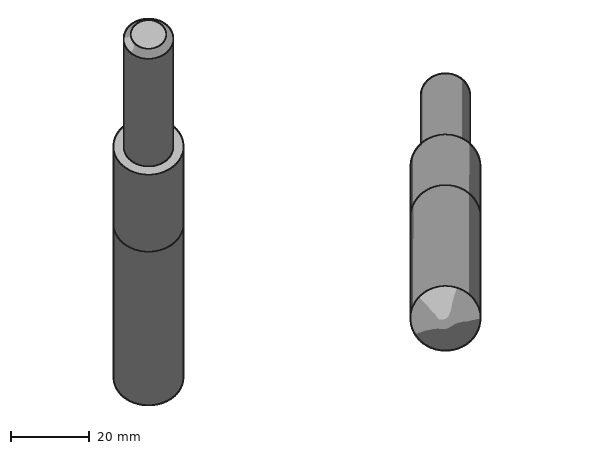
import cadquery as cq
import math

total_length = 152.4
body_diameter = 17.8
shank_diameter = 12.6
shank_length = 48.0
shank_end_diameter = 9.0
shank_chamfer_height = 1.8
holder_body_length = 33.0
point_angle = 118.0

body_radius = body_diameter / 2
shank_radius = shank_diameter / 2
shank_end_radius = shank_end_diameter / 2
point_height = body_radius / math.tan(math.radians(point_angle / 2))
shoulder_z = total_length - shank_length
joint_z = shoulder_z - holder_body_length


def revolve_profile(points):
    """Revolve a closed (radius, Z) outline around the Z axis."""
    outline = cq.Workplane("XZ").polyline(points).close()
    return outline.revolve(360, (0, 0, 0), (0, 1, 0))


def make_cutter():
    """Cylindrical lower body with a conical point."""
    return revolve_profile([
        (0, 0),
        (body_radius, point_height),
        (body_radius, joint_z),
        (0, joint_z),
    ])


def make_holder():
    """Upper body with a slimmer shank, chamfered at its free end."""
    return revolve_profile([
        (0, joint_z),
        (body_radius, joint_z),
        (body_radius, shoulder_z),
        (shank_radius, shoulder_z),
        (shank_radius, total_length - shank_chamfer_height),
        (shank_end_radius, total_length),
        (0, total_length),
    ])


cutter = make_cutter()
holder = make_holder()

result = cq.Compound.makeCompound([cutter.val(), holder.val()])